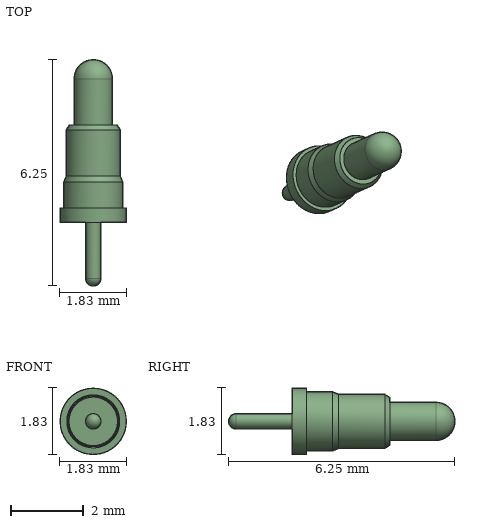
import cadquery as cq
import math

total_length = 6.25
tip_y = total_length / 2
tail_end_y = -total_length / 2

flange_diameter = 1.83
flange_radius = flange_diameter / 2
collar_radius = 0.82
barrel_radius = 0.75
contact_radius = 0.53
flange_rear_y = -1.37
flange_length = 0.4
collar_length = 0.71
collar_taper_length = 0.17
barrel_length = 1.275
barrel_chamfer_length = 0.14
barrel_chamfer_depth = 0.095

plug_radius = 0.7
plug_length = flange_length
tail_radius = 0.21

seam_chamfer = 0.03

flange_front_y = flange_rear_y + flange_length
taper_start_y = flange_front_y + collar_length
taper_end_y = taper_start_y + collar_taper_length
barrel_chamfer_y = taper_end_y + barrel_length
barrel_front_y = barrel_chamfer_y + barrel_chamfer_length
plug_front_y = flange_rear_y + plug_length
groove_bottom_y = flange_rear_y + seam_chamfer

half_arc = math.sqrt(0.5)


def revolve_about_y(profile):
    return profile.close().revolve(360, (0, 0, 0), (0, 1, 0))


def make_housing():
    """Stepped barrel with a domed contact and a recess for the plug."""
    dome_y = tip_y - contact_radius
    dome_middle = (contact_radius * half_arc, dome_y + contact_radius * half_arc)
    profile = (
        cq.Workplane("XY")
        .moveTo(0, plug_front_y)
        .lineTo(plug_radius, plug_front_y)
        .lineTo(plug_radius, groove_bottom_y)
        .lineTo(plug_radius + seam_chamfer, flange_rear_y)
        .lineTo(flange_radius, flange_rear_y)
        .lineTo(flange_radius, flange_front_y)
        .lineTo(collar_radius, flange_front_y)
        .lineTo(collar_radius, taper_start_y)
        .lineTo(barrel_radius, taper_end_y)
        .lineTo(barrel_radius, barrel_chamfer_y)
        .lineTo(barrel_radius - barrel_chamfer_depth, barrel_front_y)
        .lineTo(contact_radius, barrel_front_y)
        .lineTo(contact_radius, dome_y)
        .threePointArc(dome_middle, (0, tip_y))
    )
    return revolve_about_y(profile)


def make_tail_plug():
    """Chamfered disc and its slender tail, turned as one piece."""
    tail_dome_y = tail_end_y + tail_radius
    dome_middle = (tail_radius * half_arc, tail_dome_y - tail_radius * half_arc)
    profile = (
        cq.Workplane("XY")
        .moveTo(0, tail_end_y)
        .threePointArc(dome_middle, (tail_radius, tail_dome_y))
        .lineTo(tail_radius, flange_rear_y)
        .lineTo(plug_radius - seam_chamfer, flange_rear_y)
        .lineTo(plug_radius, groove_bottom_y)
        .lineTo(plug_radius, plug_front_y)
        .lineTo(0, plug_front_y)
    )
    return revolve_about_y(profile)


housing = make_housing()
tail_plug = make_tail_plug()
result = cq.Compound.makeCompound([housing.val(), tail_plug.val()])